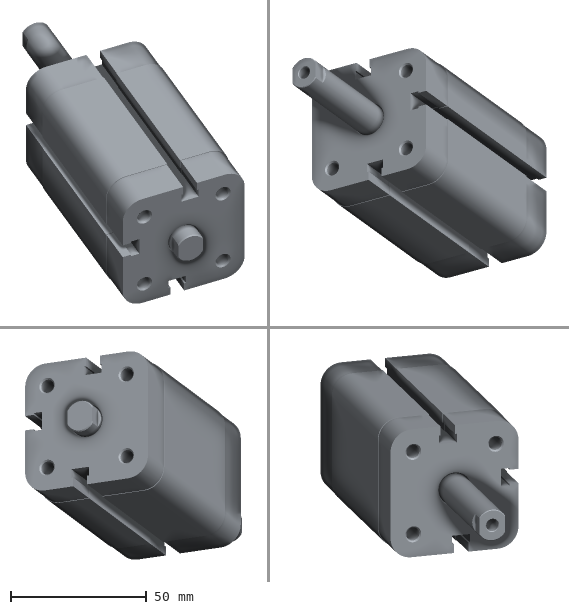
import cadquery as cq
import math

SIDE = 50.0
HALF_SIDE = SIDE / 2
CAP_INSET = 0.2
CORNER_RADIUS = 8.0

ROD_LENGTH = 136.5
FRONT_CAP_START = 45.7
FRONT_CAP_LENGTH = 14.7
TUBE_LENGTH = 55.5
REAR_CAP_LENGTH = 14.3
TUBE_START = FRONT_CAP_START + FRONT_CAP_LENGTH
REAR_CAP_START = TUBE_START + TUBE_LENGTH

SLOT_MOUTH_WIDTH = 5.2
SLOT_INNER_WIDTH = 6.5
SLOT_LIP_DEPTH = 3.8
SLOT_DEPTH = 7.0
SLOT_OFFSET = SLOT_MOUTH_WIDTH / 2

MOUNT_SPACING = 32.0
MOUNT_DIAMETER = 5.0
MOUNT_CHAMFER = 0.5

ROD_DIAMETER = 12.0
BORE_CHAMFER = 0.4
FLATS_WIDTH = 10.0
FLAT_LENGTH = 5.0
RUN_OUT_ANGLE = 60.0
FRONT_CHAMFER = 0.3
REAR_CHAMFER = 0.4
ROD_HOLE_DIAMETER = 4.6
ROD_HOLE_CHAMFER = 0.3
ROD_HOLE_DEPTH = 10.9
DRILL_TIP_ANGLE = 118.0


def x_plane(x):
    """Plane across the axis at x: local x is Y, local y is Z, extrusions go to +X."""
    return cq.Workplane("YZ", origin=(x, 0, 0))


def slot_cutter(start, length, inset, turn):
    """T-slot opening on the +Z side, widened by the inset and turned about the X axis."""
    floor = HALF_SIDE - SLOT_DEPTH
    ledge = HALF_SIDE - SLOT_LIP_DEPTH + inset
    mouth = (
        x_plane(start)
        .center(SLOT_OFFSET, (floor + HALF_SIDE) / 2)
        .rect(SLOT_MOUTH_WIDTH + 2 * inset, HALF_SIDE - floor)
        .extrude(length)
    )
    inner = (
        x_plane(start)
        .center(SLOT_OFFSET, (floor + ledge) / 2)
        .rect(SLOT_INNER_WIDTH + 2 * inset, ledge - floor)
        .extrude(length)
    )
    return mouth.union(inner).rotate((0, 0, 0), (1, 0, 0), turn)


def body_section(start, length, inset=0):
    """Length of the square section with its slots, mounting holes and rod bore.

    The inset moves the sides and the slot walls, but not the slot floor, into the material.
    """
    side = SIDE - 2 * inset
    section = x_plane(start).rect(side, side).extrude(length).edges("|X").fillet(CORNER_RADIUS)
    for turn in (0, 90, 180):
        section = section.cut(slot_cutter(start, length, inset, turn))
    holes = (
        x_plane(start)
        .rect(MOUNT_SPACING, MOUNT_SPACING, forConstruction=True)
        .vertices()
        .circle(MOUNT_DIAMETER / 2)
        .extrude(length)
    )
    bore = x_plane(start).circle(ROD_DIAMETER / 2).extrude(length)
    return section.cut(holes).cut(bore)


def make_end_cap(start, length, outer_face):
    """End cap whose hole mouths are chamfered on the outer face."""
    cap = body_section(start, length, CAP_INSET)
    bore_edge = cq.selectors.RadiusNthSelector(1)
    cap = cap.faces(outer_face).edges("%CIRCLE").edges(bore_edge).chamfer(BORE_CHAMFER)
    mount_edges = cq.selectors.RadiusNthSelector(0)
    return cap.faces(outer_face).edges("%CIRCLE").edges(mount_edges).chamfer(MOUNT_CHAMFER)


def flat_cutter():
    """Cutter for the +Y wrench flat at the front end, with a sloping run-out."""
    half_width = FLATS_WIDTH / 2
    cut_depth = ROD_DIAMETER / 2
    run_out = cut_depth / math.tan(math.radians(RUN_OUT_ANGLE))
    return (
        cq.Workplane("XY")
        .moveTo(0, half_width)
        .lineTo(FLAT_LENGTH, half_width)
        .lineTo(FLAT_LENGTH + run_out, half_width + cut_depth)
        .lineTo(0, half_width + cut_depth)
        .close()
        .extrude(ROD_DIAMETER, both=True)
    )


def rod_hole_cutter():
    """Blind hole in the front end of the rod, with a chamfered mouth and a conical drill tip."""
    radius = ROD_HOLE_DIAMETER / 2
    tip_length = radius / math.tan(math.radians(DRILL_TIP_ANGLE / 2))
    return (
        cq.Workplane("XZ")
        .moveTo(0, 0)
        .lineTo(0, radius + ROD_HOLE_CHAMFER)
        .lineTo(ROD_HOLE_CHAMFER, radius)
        .lineTo(ROD_HOLE_DEPTH, radius)
        .lineTo(ROD_HOLE_DEPTH + tip_length, 0)
        .close()
        .revolve(360, (0, 0, 0), (1, 0, 0))
    )


def make_rod():
    """Through rod with two wrench flats at each end and a hole in its front end."""
    rod = x_plane(0).circle(ROD_DIAMETER / 2).extrude(ROD_LENGTH)
    rod = rod.faces(">X").edges().chamfer(REAR_CHAMFER)
    rod = rod.faces("<X").edges().chamfer(FRONT_CHAMFER)
    front_flats = flat_cutter().union(flat_cutter().mirror("XZ"))
    rear_flats = front_flats.mirror("YZ", (ROD_LENGTH / 2, 0, 0))
    return rod.cut(front_flats).cut(rear_flats).cut(rod_hole_cutter())


front_cap = make_end_cap(FRONT_CAP_START, FRONT_CAP_LENGTH, "<X")
tube = body_section(TUBE_START, TUBE_LENGTH)
rear_cap = make_end_cap(REAR_CAP_START, REAR_CAP_LENGTH, ">X")
rod = make_rod()

result = cq.Compound.makeCompound([front_cap.val(), tube.val(), rear_cap.val(), rod.val()])